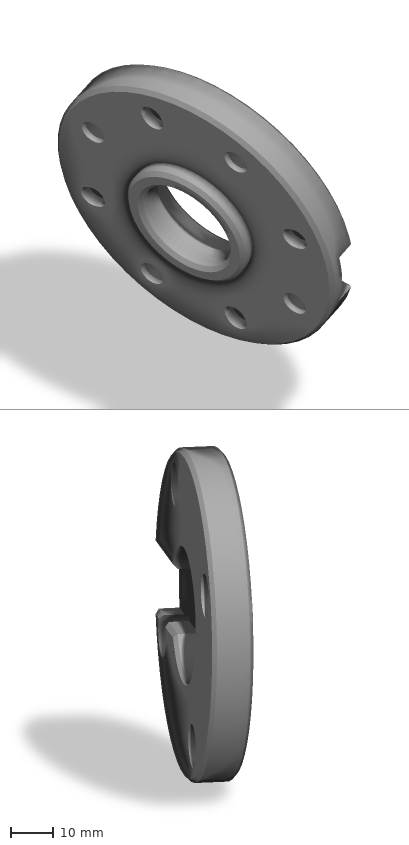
import cadquery as cq
import math

FLANGE_DIAMETER = 80.0
FLANGE_THICKNESS = 10.0
HUB_DIAMETER = 34.0
HUB_LENGTH = 4.0
EDGE_CHAMFER = 1.0

BORE_DIAMETER = 25.0
RECESS_DIAMETER = 31.5
RECESS_DEPTH = 6.0

BOLT_CIRCLE_DIAMETER = 63.0
HOLE_COUNT = 8
FIRST_HOLE_ANGLE = 22.5
HOLE_DIAMETER = 6.5
HOLE_NECK_LENGTH = 1.5
COUNTERBORE_DIAMETER = 10.5
SLOT_LENGTH = 7.0
SLOT_WIDTH = 6.0
SLOT_DEPTH = 3.0

GROOVE_WIDTH = 16.0
GROOVE_DEPTH = RECESS_DEPTH

FLANGE_FRONT_Y = -FLANGE_THICKNESS
HUB_FRONT_Y = FLANGE_FRONT_Y - HUB_LENGTH
HOLE_PITCH = 360.0 / HOLE_COUNT


def revolved_body():
    """Flange, hub, bore and recess, turned about the Y axis with chamfered edges."""
    rim = FLANGE_DIAMETER / 2
    hub = HUB_DIAMETER / 2
    bore = BORE_DIAMETER / 2
    recess = RECESS_DIAMETER / 2
    c = EDGE_CHAMFER
    profile = [
        (bore, -RECESS_DEPTH - c),
        (bore + c, -RECESS_DEPTH),
        (recess, -RECESS_DEPTH),
        (recess, -c),
        (recess + c, 0),
        (rim - c, 0),
        (rim, -c),
        (rim, FLANGE_FRONT_Y + c),
        (rim - c, FLANGE_FRONT_Y),
        (hub, FLANGE_FRONT_Y),
        (hub, HUB_FRONT_Y + c),
        (hub - c, HUB_FRONT_Y),
        (bore + c, HUB_FRONT_Y),
        (bore, HUB_FRONT_Y + c),
    ]
    return cq.Workplane("XY").polyline(profile).close().revolve(360, (0, 0), (0, 1))


def front_sketch(angle):
    """Workplane on the flange's front face, centred on the bolt circle at the given angle."""
    radius = BOLT_CIRCLE_DIAMETER / 2
    x = radius * math.cos(math.radians(angle))
    z = radius * math.sin(math.radians(angle))
    return cq.Workplane("XZ", origin=(0, FLANGE_FRONT_Y, 0)).center(x, z)


def through_hole(angle):
    """Bolt hole with a short neck at the front and a counterbore from the back face."""
    shank = front_sketch(angle).circle(HOLE_DIAMETER / 2).extrude(-FLANGE_THICKNESS)
    counterbore = front_sketch(angle).circle(COUNTERBORE_DIAMETER / 2).extrude(-FLANGE_THICKNESS)
    return shank.union(counterbore.translate((0, HOLE_NECK_LENGTH, 0)))


def slotted_hole(angle):
    """Blind slot in the front face, lengthened along the flange radius."""
    return front_sketch(angle).slot2D(SLOT_LENGTH, SLOT_WIDTH, angle).extrude(-SLOT_DEPTH)


def back_groove():
    """Radial groove whose two long edges on the back face are chamfered."""
    reach = FLANGE_DIAMETER / 2
    half = GROOVE_WIDTH / 2
    c = EDGE_CHAMFER
    section = [
        (-GROOVE_DEPTH, -half),
        (-c, -half),
        (0, -half - c),
        (0, half + c),
        (-c, half),
        (-GROOVE_DEPTH, half),
    ]
    return cq.Workplane("YZ").polyline(section).close().extrude(reach)


result = revolved_body().cut(back_groove())
for index in range(HOLE_COUNT):
    hole_angle = FIRST_HOLE_ANGLE + index * HOLE_PITCH
    is_slotted = index % 2 == 0
    cutter = slotted_hole(hole_angle) if is_slotted else through_hole(hole_angle)
    result = result.cut(cutter)